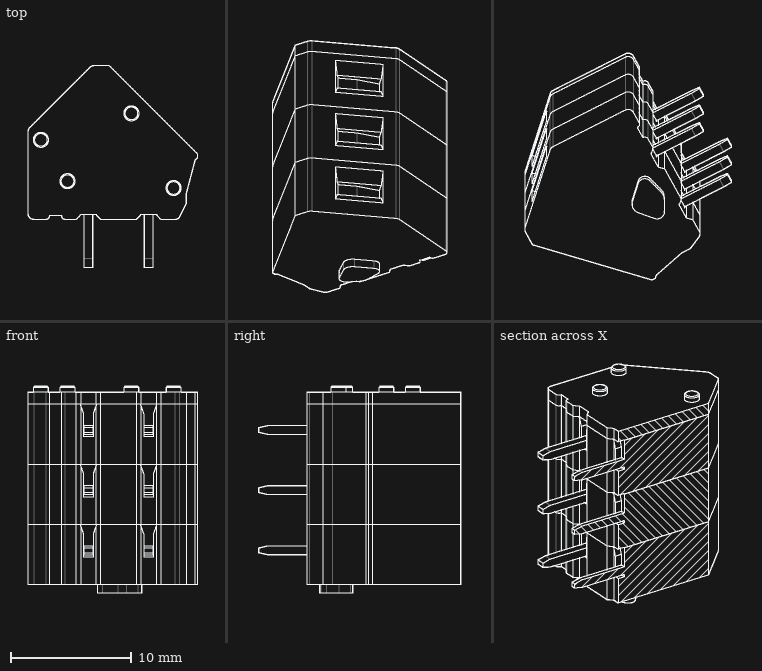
import cadquery as cq
import math

pole_count = 3
pole_pitch = 5.0
plate_thickness = 1.0

body_depth = 12.8
left_corner_y = 7.5
peak_left_x = body_depth - left_corner_y
peak_width = 1.45
nose_x = 14.1
nose_top_y = body_depth - (nose_x - peak_left_x - peak_width)
nose_bottom_y = 5.13
nose_chamfer = 0.2
flank_x = 13.17
flank_top_y = 2.15
flank_bottom_y = 1.35
foot_right_x = 12.5
corner_radius = 0.5
foot_right_radius = 0.42

groove_left_x = 1.8
groove_right_x = 2.8
groove_depth = 0.33
groove_round = 0.3

pin_xs = (5.03, 10.03)
pin_size = 0.75
pin_z = 2.85
pin_end_y = -4.0
pin_tip_length = 0.75
pin_tip_size = 0.4

notch_depth = 0.4
notch_floor_width = 1.27
notch_side_run = 0.38
notch_mouth_width = notch_floor_width + 2 * notch_side_run

slot_width = 0.8
slot_bottom_z = 2.3
slot_depth = 0.6
funnel_width = 1.37
funnel_height = 0.8

entry_upper_y = 11.25
entry_length = 4.03
entry_z = 2.85
entry_height = 3.0
entry_hole_height = 1.19
entry_taper_depth = (entry_height - entry_hole_height) / 2
entry_floor_depth = 1.39
entry_floor_length = 1.61
entry_floor_slope = math.radians(12)
entry_wall_slope = math.radians(19)

stud_places = ((1.08, 6.62), (3.29, 3.19), (8.6, 8.82), (12.1, 2.62))
stud_diameter = 1.25
stud_height = 0.5
stud_chamfer = 0.1

peg_corners = (
    (5.24, 1.73, 0.58),
    (7.86, 1.0, 1.0),
    (9.94, 2.06, 0.62),
    (7.65, 4.12, 0.8),
)
peg_height = 0.7


def round_edges(body, points, z, radius):
    """Fillet the upright edges that pass through the given XY points."""
    for x, y in points:
        edge = body.edges("|Z").edges(cq.selectors.NearestToPointSelector((x, y, z)))
        body = edge.fillet(radius)
    return body


def housing_slice(bottom_z, height):
    """Prism with the common housing outline."""
    points = [
        (0, 0),
        (groove_left_x, 0),
        (groove_left_x, groove_depth),
        (groove_right_x, groove_depth),
        (groove_right_x, 0),
    ]
    for x in pin_xs:
        points += [
            (x - notch_mouth_width / 2, 0),
            (x - notch_floor_width / 2, notch_depth),
            (x + notch_floor_width / 2, notch_depth),
            (x + notch_mouth_width / 2, 0),
        ]
    points += [
        (foot_right_x, 0),
        (flank_x, flank_bottom_y),
        (flank_x, flank_top_y),
        (nose_x - nose_chamfer, nose_bottom_y - nose_chamfer),
        (nose_x, nose_bottom_y),
        (nose_x, nose_top_y),
        (peak_left_x + peak_width, body_depth),
        (peak_left_x, body_depth),
        (0, left_corner_y),
    ]
    body = cq.Workplane("XY").workplane(offset=bottom_z).polyline(points).close().extrude(height)
    mid_z = bottom_z + height / 2
    main_corners = [(0, 0), (0, left_corner_y), (peak_left_x, body_depth)]
    groove_corners = [(groove_left_x, 0), (groove_right_x, 0)]
    body = round_edges(body, main_corners, mid_z, corner_radius)
    body = round_edges(body, groove_corners, mid_z, groove_round)
    return round_edges(body, [(foot_right_x, 0)], mid_z, foot_right_radius)


def wire_entry(base_z):
    """Cutter for a mouth that narrows at 45 degrees in height, then a short hole with a bent floor."""
    start = (entry_upper_y - left_corner_y, entry_upper_y, base_z + entry_z)
    inward = (1, -1, 0)
    wall_shift = entry_floor_depth * math.tan(entry_wall_slope)
    floor_bend = wall_shift + entry_floor_length
    full_depth = entry_floor_depth + (entry_length - floor_bend) * math.tan(entry_floor_slope)
    plan = (
        cq.Workplane(cq.Plane(start, xDir=inward, normal=(0, 0, 1)))
        .polyline([
            (0, 0),
            (entry_floor_depth, -wall_shift),
            (entry_floor_depth, -floor_bend),
            (full_depth, -entry_length),
            (0, -entry_length),
        ])
        .close()
        .extrude(entry_height / 2, both=True)
    )
    height_profile = (
        cq.Workplane(cq.Plane(start, xDir=inward, normal=(-1, -1, 0)))
        .polyline([
            (0, -entry_height / 2),
            (0, entry_height / 2),
            (entry_taper_depth, entry_hole_height / 2),
            (full_depth, entry_hole_height / 2),
            (full_depth, -entry_hole_height / 2),
            (entry_taper_depth, -entry_hole_height / 2),
        ])
        .close()
        .extrude(entry_length)
    )
    return plan.intersect(height_profile)


def pin_slot(x, base_z):
    """Cutter for the funnel-topped slot behind a pin."""
    top_z = base_z + pole_pitch
    return (
        cq.Workplane("XZ")
        .polyline([
            (x - slot_width / 2, base_z + slot_bottom_z),
            (x + slot_width / 2, base_z + slot_bottom_z),
            (x + slot_width / 2, top_z - funnel_height),
            (x + funnel_width / 2, top_z),
            (x - funnel_width / 2, top_z),
            (x - slot_width / 2, top_z - funnel_height),
        ])
        .close()
        .extrude(-(notch_depth + slot_depth))
    )


def pin(x, base_z):
    """Square pin from the slot's back wall, thinned in Z at the tip."""
    z = base_z + pin_z
    root_y = notch_depth + slot_depth
    tip_start_y = pin_end_y + pin_tip_length
    return (
        cq.Workplane("YZ", origin=(x, 0, z))
        .polyline([
            (root_y, pin_size / 2),
            (tip_start_y, pin_size / 2),
            (pin_end_y, pin_tip_size / 2),
            (pin_end_y, -pin_tip_size / 2),
            (tip_start_y, -pin_size / 2),
            (root_y, -pin_size / 2),
        ])
        .close()
        .extrude(pin_size / 2, both=True)
    )


def locating_peg():
    """Four-sided peg with rounded corners, hanging below Z = 0."""
    outline = [(x, y) for x, y, _ in peg_corners]
    peg = cq.Workplane("XY").polyline(outline).close().extrude(-peg_height)
    for x, y, radius in peg_corners:
        peg = round_edges(peg, [(x, y)], -peg_height / 2, radius)
    return peg


def pole_module(index):
    """One pole: housing slice with its wire entry and two pins; the lowest also carries the peg."""
    base_z = index * pole_pitch
    module = housing_slice(base_z, pole_pitch).cut(wire_entry(base_z))
    for x in pin_xs:
        module = module.cut(pin_slot(x, base_z))
        module = module.union(pin(x, base_z))
    if index == 0:
        module = module.union(locating_peg())
    return module


def end_plate():
    """Cover plate over the top module, with four chamfered studs."""
    bottom_z = pole_count * pole_pitch
    studs = (
        cq.Workplane("XY").workplane(offset=bottom_z + plate_thickness)
        .pushPoints(stud_places)
        .circle(stud_diameter / 2)
        .extrude(stud_height)
        .faces(">Z")
        .chamfer(stud_chamfer)
    )
    return housing_slice(bottom_z, plate_thickness).union(studs)


pole_modules = [pole_module(index) for index in range(pole_count)]
plate = end_plate()

result = cq.Compound.makeCompound([*[module.val() for module in pole_modules], plate.val()])